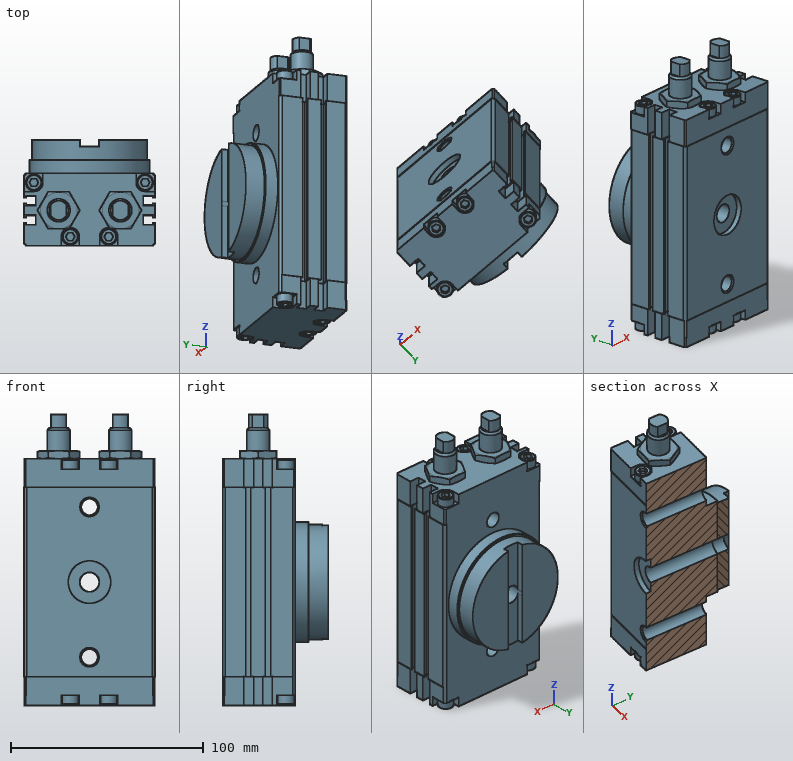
import cadquery as cq
import math


body_width = 68.0
body_depth = 37.8
body_half_height = 49.0
body_chamfer = 1.43
cap_height = 15.0
cap_inset = 0.23
cap_chamfer = 0.8
top = body_half_height + cap_height

adjuster_offset = 0.38
adjuster_y = body_depth / 2 - adjuster_offset
cap_groove_offset = 4.8
cap_groove_width = 5.1
cap_groove_depth = 6.0
slot_offset = 5.1
slot_mouth_width = 2.7
slot_inner_width = 4.7
slot_lip = 1.2
slot_depth = 6.3

flange_diameter = 62.5
flange_thickness = 7.0
flange_chamfer = 0.3
table_diameter = 60.0
table_thickness = 10.3
table_slot_width = 9.7
table_slot_depth = 3.3
flange_face = body_depth + flange_thickness

bore_diameter = 10.0
bore_recess_diameter = 22.0
bore_recess_depth = 3.0
mount_hole_diameter = 8.5
mount_hole_rim = 10.0
mount_hole_z = 39.0

screw_head_diameter = 8.5
screw_head_height = 5.0
screw_head_chamfer = 0.5
screw_socket_flats = 4.1
screw_socket_depth = 2.3
screw_recess_diameter = 9.4
screw_recess_depth = 5.5
screw_edge = 4.8
front_screw_x = 10.0
back_screw_x = 28.8

adjuster_x = 16.0
nut_flats = 19.0
nut_height = 4.1
nut_edge_drop = 0.5
stud_diameter = 12.0
adjuster_height = 23.0
tip_height = 7.0
tip_diameter = 10.0
tip_flats = 8.0
stud_chamfer_height = 1.4
tip_base = adjuster_height - tip_height
stud_shoulder = tip_base - stud_chamfer_height


def box(x_range, y_range, z_range):
    """Box spanning the given (low, high) ranges."""
    sizes = [high - low for low, high in (x_range, y_range, z_range)]
    corner = (x_range[0], y_range[0], z_range[0])
    return cq.Workplane("XY").box(*sizes, centered=False).translate(corner)


def rod(diameter, y_start, y_end, z=0.0):
    """Cylinder along Y."""
    return cq.Workplane("XZ", origin=(0, y_start, z)).circle(diameter / 2).extrude(y_start - y_end)


def hex_corners(flats):
    """Distance across the corners of a hexagon."""
    return flats / math.cos(math.pi / 6)


def profile_block(width, y_front, z_low, z_high, chamfer):
    """Upright block with chamfered corners, its back on the housing's back face."""
    block = box((-width / 2, width / 2), (y_front, body_depth), (z_low, z_high))
    return block.edges("|Z").chamfer(chamfer)


def side_grooves(offset, width, depth_range, z_range):
    """Grooves on both sides, at depths measured in from the widest sides."""
    cuts = cq.Workplane("XY")
    shallow, deep = depth_range
    for y in (adjuster_y - offset, adjuster_y + offset):
        y_range = (y - width / 2, y + width / 2)
        groove = box((body_width / 2 - deep, body_width / 2 - shallow), y_range, z_range)
        cuts = cuts.add(groove).add(groove.mirror("YZ"))
    return cuts.combine()


def make_middle():
    """Middle stretch of the housing, with T-slots in its sides."""
    z_range = (-body_half_height, body_half_height)
    middle = profile_block(body_width, 0, *z_range, body_chamfer)
    middle = middle.cut(side_grooves(slot_offset, slot_mouth_width, (0, slot_depth), z_range))
    return middle.cut(side_grooves(slot_offset, slot_inner_width, (slot_lip, slot_depth), z_range))


def screw_head():
    """Socket head standing on Z = 0."""
    head = cq.Workplane("XY").circle(screw_head_diameter / 2).extrude(screw_head_height)
    head = head.faces(">Z").chamfer(screw_head_chamfer)
    socket = cq.Workplane("XY").polygon(6, hex_corners(screw_socket_flats)).extrude(screw_socket_depth)
    return head.cut(socket.translate((0, 0, screw_head_height - screw_socket_depth)))


def front_recess():
    """Round recess on Z = 0, open toward -Y."""
    radius = screw_recess_diameter / 2
    recess = cq.Workplane("XY").circle(radius).extrude(screw_recess_depth)
    return recess.union(box((-radius, radius), (-screw_edge, 0), (0, screw_recess_depth)))


def back_recess():
    """Round recess on Z = 0, open toward the +X and +Y sides of its corner."""
    radius = screw_recess_diameter / 2
    side_run = body_width / 2 - back_screw_x
    recess = cq.Workplane("XY").circle(radius).extrude(screw_recess_depth)
    corner = box((-radius, side_run), (-radius, screw_edge), (0, screw_recess_depth))
    inner_quarter = box((-radius, 0), (-radius, 0), (0, screw_recess_depth))
    return recess.union(corner.cut(inner_quarter))


def make_cap():
    """Upper end cap with its four screw heads."""
    z_range = (body_half_height, top)
    cap = profile_block(body_width - 2 * cap_inset, cap_inset, *z_range, cap_chamfer)
    cap = cap.cut(side_grooves(cap_groove_offset, cap_groove_width, (0, cap_groove_depth), z_range))
    seat = top - screw_recess_depth
    front_place = (front_screw_x, screw_edge, seat)
    back_place = (back_screw_x, body_depth - screw_edge, seat)
    for recess, place in ((front_recess(), front_place), (back_recess(), back_place)):
        recess = recess.translate(place)
        head = screw_head().translate(place)
        cap = cap.cut(recess).cut(recess.mirror("YZ"))
        cap = cap.union(head).union(head.mirror("YZ"))
    return cap


def corner_trim():
    """Material outside the middle's corner chamfers, down to the lower screw seats."""
    z_range = (-top + screw_recess_depth, -body_half_height)
    blank = box((-body_width / 2, body_width / 2), (0, body_depth), z_range)
    return blank.cut(profile_block(body_width, 0, *z_range, body_chamfer))


def mount_hole():
    """Hole along Y through the housing, chamfered at the front."""
    radius = mount_hole_diameter / 2
    rim_radius = mount_hole_rim / 2
    return (
        cq.Workplane("XY")
        .lineTo(rim_radius, 0)
        .lineTo(radius, rim_radius - radius)
        .lineTo(radius, body_depth)
        .lineTo(0, body_depth)
        .close()
        .revolve(360, (0, 0), (0, 1))
    )


def make_housing():
    """Middle, both end caps and the flange, with the holes through them."""
    upper_cap = make_cap()
    lower_cap = upper_cap.mirror("XY").cut(corner_trim())
    flange = rod(flange_diameter, body_depth, flange_face).faces(">Y").chamfer(flange_chamfer)
    housing = make_middle().union(upper_cap).union(lower_cap).union(flange)
    housing = housing.cut(rod(bore_diameter, 0, flange_face))
    housing = housing.cut(rod(bore_recess_diameter, 0, bore_recess_depth))
    for z in (-mount_hole_z, mount_hole_z):
        housing = housing.cut(mount_hole().translate((0, 0, z)))
    return housing


def make_table():
    """Round table with a slot across its outer face."""
    outer_face = flange_face + table_thickness
    table = rod(table_diameter, flange_face, outer_face)
    table = table.cut(rod(bore_diameter, flange_face, outer_face))
    half_slot = table_slot_width / 2
    half_length = table_diameter / 2
    slot_y = (outer_face - table_slot_depth, outer_face)
    slot = box((-half_slot, half_slot), slot_y, (-half_length, half_length))
    return table.cut(slot)


def make_adjuster(x):
    """Chamfered nut, stud and flatted tip, standing on the upper cap."""
    nut = cq.Workplane("XY").polygon(6, hex_corners(nut_flats)).extrude(nut_height)
    corner_radius = hex_corners(nut_flats) / 2
    flat_radius = nut_flats / 2
    envelope = (
        cq.Workplane("XZ")
        .lineTo(flat_radius, 0)
        .lineTo(corner_radius, nut_edge_drop)
        .lineTo(corner_radius, nut_height - nut_edge_drop)
        .lineTo(flat_radius, nut_height)
        .lineTo(0, nut_height)
        .close()
        .revolve()
    )
    nut = nut.intersect(envelope)
    stud = (
        cq.Workplane("XZ")
        .lineTo(stud_diameter / 2, 0)
        .lineTo(stud_diameter / 2, stud_shoulder)
        .lineTo(tip_diameter / 2, tip_base)
        .lineTo(tip_diameter / 2, adjuster_height)
        .lineTo(0, adjuster_height)
        .close()
        .revolve()
    )
    flat_zone = box((tip_flats / 2, tip_diameter), (-tip_diameter, tip_diameter), (tip_base, adjuster_height))
    stud = stud.cut(flat_zone).cut(flat_zone.mirror("YZ"))
    return nut.union(stud).translate((x, adjuster_y, top))


housing = make_housing()
table = make_table()
adjusters = [make_adjuster(x) for x in (-adjuster_x, adjuster_x)]

result = cq.Compound.makeCompound([housing.val(), table.val(), *[a.val() for a in adjusters]])